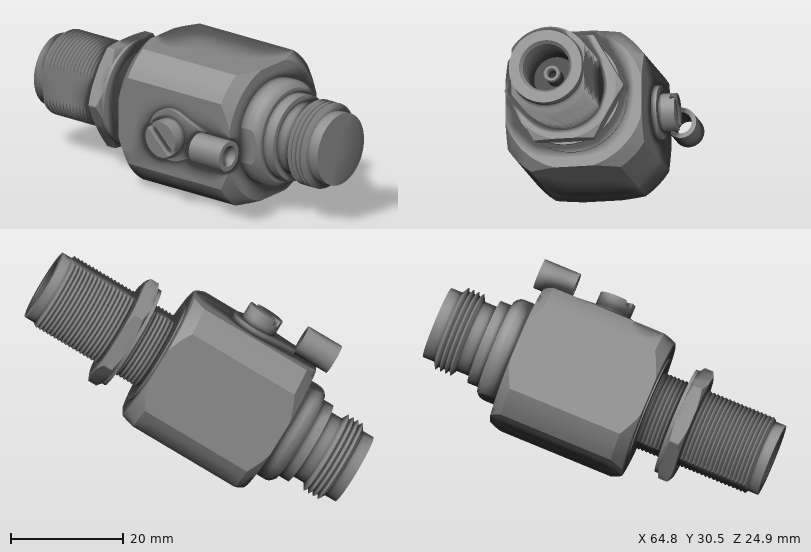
import cadquery as cq
import math

total_length = 64.8
tip_radius = 6.7
crest_radius = 7.9

long_thread_start = 1.95
long_thread_end = 23.65
long_thread_root = 7.1
long_thread_count = 28
long_thread_first_crest = 2.45
long_thread_last_crest = 23.05
long_thread_pitch = (long_thread_last_crest - long_thread_first_crest) / (long_thread_count - 1)

short_thread_start = 58.2
short_thread_root = 7.05
short_thread_count = 4
short_thread_pitch = 1.0
short_thread_flank = 0.7

block_start = 23.9
block_end = 49.3
block_half_width = 12.45
flat_half_width = 8.15
block_corner_radius = math.hypot(block_half_width, flat_half_width)
block_face_radius = 12.9
block_front_cone = 2.15
block_rear_cone = 1.95

collar_radius = 9.85
shoulder_round_start = 51.6
shoulder_end = 53.4
shoulder_end_radius = 8.75
shoulder_nose_radius = 2.6
shoulder_flat_offset = 9.25
step_end = 55.65

socket_mouth_radius = 4.8
socket_radius = 4.3
socket_taper = 0.8
socket_depth = 9.1
socket_floor_radius = 3.95
contact_radius = 1.5
contact_tip = 5.2
contact_tip_radius = 1.3
contact_chamfer = 0.25
contact_hole_radius = 1.05
contact_hole_taper_radius = 0.8
contact_hole_taper = 0.3
contact_hole_depth = 2.6
contact_hole_point = 0.8
contact_hole_end_radius = 0.05

nut_start = 15.3
nut_hex_length = 2.7
nut_sides = 6
nut_across_flats = 18.85
nut_corner_radius = 10.8
nut_chamfer_length = 0.5
nut_chamfer_depth = 1.2
flange_thickness = 0.6
nut_end = nut_start + nut_hex_length + flange_thickness
nut_countersink = crest_radius - long_thread_root

lug_x = 36.6
lug_radius = 4.85
lug_thickness = 1.0
lug_blend_x = 38.75
lug_neck_half_width = 2.25
barrel_start = 44.4
barrel_length = 6.9
barrel_radius = 2.8
barrel_bore_radius = 1.95

head_radius = 3.4
head_height = 2.9
undercut_radius = 3.3
undercut_height = 0.3
slot_width = 1.55
slot_depth = 1.0
slot_angle = 45.0


def turned(points):
    """Solid of revolution about X from (x, radius) points, closed along the axis."""
    closed = [(points[0][0], 0)] + points + [(points[-1][0], 0)]
    return cq.Workplane("XY").polyline(closed).close().revolve(360, (0, 0, 0), (1, 0, 0))


def cylinder(start, end, radius):
    """Cylinder along the X axis."""
    return turned([(start, radius), (end, radius)])


def long_thread():
    """Row of V-shaped ridges along the front barrel."""
    points = [(long_thread_start, tip_radius)]
    for i in range(long_thread_count):
        crest = long_thread_first_crest + i * long_thread_pitch
        points.append((crest, crest_radius))
        points.append((crest + long_thread_pitch / 2, long_thread_root))
    points.append((long_thread_end, long_thread_root))
    return turned(points)


def short_thread():
    """Four V-shaped ridges with flanks running out to the tip radius."""
    points = [(short_thread_start, tip_radius)]
    first_crest = short_thread_start + short_thread_flank
    for i in range(short_thread_count):
        crest = first_crest + i * short_thread_pitch
        if i > 0:
            points.append((crest - short_thread_pitch / 2, short_thread_root))
        points.append((crest, crest_radius))
    points.append((crest + short_thread_flank, tip_radius))
    return turned(points)


def block():
    """Square block whose long edges and end corners are turned away."""
    envelope = turned([
        (block_start, block_face_radius),
        (block_start + block_front_cone, block_corner_radius),
        (block_end - block_rear_cone, block_corner_radius),
        (block_end, block_face_radius),
    ])
    width = 2 * block_half_width
    length = block_end - block_start
    square = cq.Workplane("YZ", origin=(block_start, 0, 0)).rect(width, width).extrude(length)
    return square.intersect(envelope)


def shoulder():
    """Round-nosed shoulder behind the block, with a flat on each Y side."""
    turned_shoulder = (
        cq.Workplane("XY")
        .moveTo(block_end, 0)
        .lineTo(block_end, collar_radius)
        .lineTo(shoulder_round_start, collar_radius)
        .radiusArc((shoulder_end, shoulder_end_radius), shoulder_nose_radius)
        .lineTo(shoulder_end, 0)
        .close()
        .revolve(360, (0, 0, 0), (1, 0, 0))
    )
    return turned_shoulder.intersect(between_flats(block_end, shoulder_end, shoulder_flat_offset))


def between_flats(start, end, offset):
    """Slab of the space between two flats at Y = -offset and Y = +offset."""
    slab = cq.Workplane("YZ", origin=(start, 0, 0))
    return slab.rect(2 * offset, 4 * block_half_width).extrude(end - start)


def socket():
    """Tapered socket with a wider mouth, ending in a flat floor."""
    return turned([
        (0, socket_mouth_radius),
        (socket_taper, socket_radius),
        (socket_depth, socket_floor_radius),
    ])


def centre_contact():
    """Hollow contact pin standing on the socket floor."""
    pin = turned([
        (contact_tip, contact_tip_radius),
        (contact_tip + contact_chamfer, contact_radius),
        (socket_depth, contact_radius),
    ])
    hole = turned([
        (contact_tip, contact_hole_radius),
        (contact_tip + contact_hole_taper, contact_hole_taper_radius),
        (contact_tip + contact_hole_depth, contact_hole_taper_radius),
        (contact_tip + contact_hole_depth + contact_hole_point, contact_hole_end_radius),
    ])
    return pin.cut(hole)


def make_housing():
    front_barrel = long_thread().intersect(between_flats(long_thread_start, long_thread_end, tip_radius))
    return (
        cylinder(0, long_thread_start, tip_radius)
        .union(front_barrel)
        .union(cylinder(long_thread_end, block_start, collar_radius))
        .union(block())
        .union(shoulder())
        .union(cylinder(shoulder_end, step_end, crest_radius))
        .union(cylinder(step_end, total_length, tip_radius))
        .union(short_thread())
        .cut(socket())
        .union(centre_contact())
    )


def make_nut():
    """Flanged nut with an internal thread that matches the long thread."""
    hex_end = nut_start + nut_hex_length
    hex_diameter = nut_across_flats / math.cos(math.pi / nut_sides)
    face_radius = nut_corner_radius - nut_chamfer_depth
    envelope = turned([
        (nut_start, face_radius),
        (nut_start + nut_chamfer_length, nut_corner_radius),
        (hex_end - nut_chamfer_length, nut_corner_radius),
        (hex_end, face_radius),
    ])
    countersink = turned([
        (nut_start, crest_radius),
        (nut_start + nut_countersink, long_thread_root),
    ])
    return (
        cq.Workplane("YZ", origin=(nut_start, 0, 0))
        .polygon(nut_sides, hex_diameter)
        .extrude(nut_hex_length)
        .intersect(envelope)
        .union(cylinder(hex_end, nut_end, collar_radius))
        .cut(long_thread())
        .cut(countersink)
    )


def make_lug():
    """Flat eye and neck ending in an open crimp barrel that rests on the block face."""
    blend_z = math.sqrt(lug_radius**2 - (lug_blend_x - lug_x) ** 2)
    tangent = (blend_z, lug_x - lug_blend_x)
    neck_chord = (barrel_start - lug_blend_x, lug_neck_half_width - blend_z)
    chord_squared = neck_chord[0] ** 2 + neck_chord[1] ** 2
    chord_offset = abs(tangent[0] * neck_chord[1] - tangent[1] * neck_chord[0]) / lug_radius
    neck_radius = chord_squared / (2 * chord_offset)
    plate = (
        cq.Workplane("XZ", origin=(0, -block_half_width, 0))
        .moveTo(lug_blend_x, -blend_z)
        .threePointArc((lug_x - lug_radius, 0), (lug_blend_x, blend_z))
        .radiusArc((barrel_start, lug_neck_half_width), -neck_radius)
        .lineTo(barrel_start, -lug_neck_half_width)
        .radiusArc((lug_blend_x, -blend_z), -neck_radius)
        .close()
        .extrude(lug_thickness)
    )
    barrel = (
        cq.Workplane("YZ", origin=(barrel_start, -block_half_width - barrel_radius, 0))
        .circle(barrel_radius)
        .circle(barrel_bore_radius)
        .extrude(barrel_length)
    )
    return plate.union(barrel)


def make_screw():
    """Round head with a diagonal slot and an undercut, seated on the lug."""
    seat_y = -block_half_width - lug_thickness
    head = (
        cq.Workplane("XZ", origin=(lug_x, seat_y, 0))
        .circle(undercut_radius)
        .extrude(undercut_height)
        .faces("<Y")
        .workplane()
        .circle(head_radius)
        .extrude(head_height - undercut_height)
    )
    slot = (
        cq.Workplane("XZ", origin=(lug_x, seat_y - head_height + slot_depth, 0))
        .transformed(rotate=(0, 0, -slot_angle))
        .rect(4 * head_radius, slot_width)
        .extrude(slot_depth)
    )
    return head.cut(slot)


housing = make_housing()
nut = make_nut()
lug = make_lug()
screw = make_screw()

result = cq.Compound.makeCompound([
    housing.solids().val(),
    nut.solids().val(),
    lug.solids().val(),
    screw.solids().val(),
])